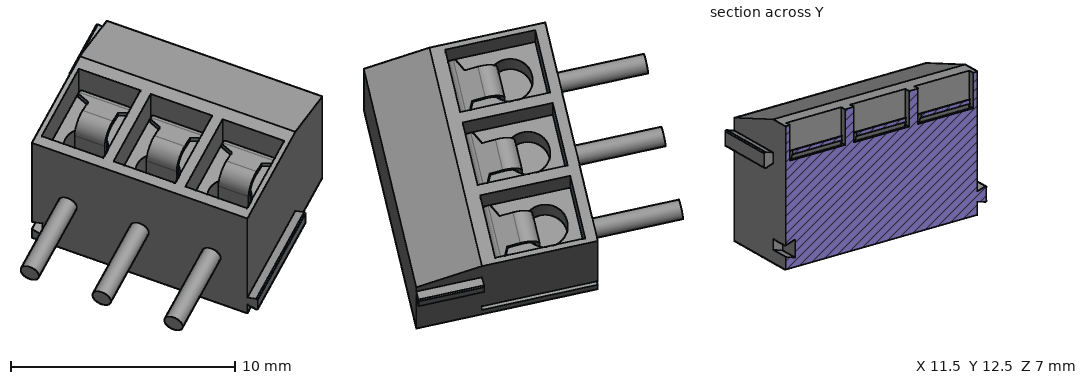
import cadquery as cq
import math


ways = 3
pitch = 3.5
housing_width = ways * pitch
housing_depth = 8.3
housing_height = 7.0
top_flat_depth = 5.3
slope_drop = 1.0

pin_diameter = 0.9
pin_length = 4.2
pin_height = 3.4

pocket_width = 3.0
pocket_front = 0.52
pocket_back = 4.64
pocket_floor = 5.27
hole_radius = 1.0
hole_centre_y = 2.0
hole_depth = 1.5

tongue_thickness = 0.2
tongue_tilt = math.radians(10)
bend_radius = 0.77
bend_front = 2.42
bend_centre_z = 5.17
nose_radius = 0.4
tongue_width = 2.7
neck_width = 1.47
shoulder_y = 4.24
neck_y = 3.94

rail_reach = 0.5
rail_root_width = 0.52
rail_angle = math.radians(18)
rail_chamfer = 0.075
upper_rail_height = 5.12
lower_rail_height = 0.91
slot_depth = 0.52

way_positions = [(way - (ways - 1) / 2) * pitch for way in range(ways)]


def make_housing():
    """Block with the rear part of its top sloping down."""
    outline = [
        (0, 0),
        (housing_depth, 0),
        (housing_depth, housing_height - slope_drop),
        (top_flat_depth, housing_height),
        (0, housing_height),
    ]
    profile = cq.Workplane("YZ").polyline(outline).close()
    return profile.extrude(housing_width / 2, both=True)


def make_pin(x):
    """Round pin standing out of the pin face."""
    face = cq.Workplane("XZ", origin=(x, 0, pin_height))
    return face.circle(pin_diameter / 2).extrude(pin_length)


def make_pocket(x):
    """Rectangular pocket with a blind round hole in its floor."""
    depth = pocket_back - pocket_front
    centre_y = (pocket_front + pocket_back) / 2
    floor = cq.Workplane("XY", origin=(x, centre_y, pocket_floor))
    pocket = floor.rect(pocket_width, depth).extrude(housing_height - pocket_floor)
    hole = (
        cq.Workplane("XY", origin=(x, hole_centre_y, pocket_floor))
        .circle(hole_radius)
        .extrude(-hole_depth)
    )
    return pocket.union(hole)


def make_tongue(x):
    """Tilted sheet contact, bent down onto the floor behind and into the hole in front."""
    bend_y = bend_front + bend_radius
    nose_y = pocket_back - nose_radius

    radius_rise = (bend_radius - nose_radius) / math.cos(tongue_tilt)
    nose_z = bend_centre_z + radius_rise - (nose_y - bend_y) * math.tan(tongue_tilt)

    def bend_point(angle, inset=0):
        """Point on the front bend; angles run from straight up towards +Y."""
        radius = bend_radius - inset
        return (bend_y + radius * math.sin(angle), bend_centre_z + radius * math.cos(angle))

    def nose_point(angle, inset=0):
        """Point on the rear bend; angles run from straight up towards +Y."""
        radius = nose_radius - inset
        return (nose_y + radius * math.sin(angle), nose_z + radius * math.cos(angle))

    hole_bottom = pocket_floor - hole_depth
    forward = -math.pi / 2
    backward = math.pi / 2
    bend_mid = (tongue_tilt + forward) / 2
    nose_mid = (tongue_tilt + backward) / 2
    inset = tongue_thickness
    side = (
        cq.Workplane("YZ", origin=(x, 0, 0))
        .moveTo(bend_front, hole_bottom)
        .lineTo(*bend_point(forward))
        .threePointArc(bend_point(bend_mid), bend_point(tongue_tilt))
        .lineTo(*nose_point(tongue_tilt))
        .threePointArc(nose_point(nose_mid), nose_point(backward))
        .lineTo(pocket_back, pocket_floor)
        .lineTo(pocket_back - inset, pocket_floor)
        .lineTo(*nose_point(backward, inset))
        .threePointArc(nose_point(nose_mid, inset), nose_point(tongue_tilt, inset))
        .lineTo(*bend_point(tongue_tilt, inset))
        .threePointArc(bend_point(bend_mid, inset), bend_point(forward, inset))
        .lineTo(bend_front + inset, hole_bottom)
        .close()
        .extrude(tongue_width / 2, both=True)
    )

    plan = [
        (neck_width / 2, 0),
        (neck_width / 2, neck_y),
        (tongue_width / 2, shoulder_y),
        (tongue_width / 2, housing_depth),
    ]
    mirrored = [(-px, py) for px, py in reversed(plan)]
    top_pivot = (x, neck_y, bend_centre_z + bend_radius)
    blank = (
        cq.Workplane("XY", origin=(x, 0, 0))
        .polyline(plan + mirrored)
        .close()
        .extrude(housing_height)
        .rotate(top_pivot, (x + 1, *top_pivot[1:]), -math.degrees(tongue_tilt))
    )
    return side.intersect(blank)


def dovetail(x, direction, height, reach, y_start, y_end):
    """Dovetail bar growing wider from a side face at x towards the given X direction."""
    root = rail_root_width / 2
    tip = root + reach * math.tan(rail_angle)
    tip_x = x + direction * reach
    outline = [
        (x, height - root),
        (tip_x, height - tip),
        (tip_x, height + tip),
        (x, height + root),
    ]
    profile = cq.Workplane("XZ", origin=(0, y_start, 0)).polyline(outline).close()
    return profile.extrude(y_start - y_end)


def make_rail(side, height, y_start, y_end):
    """Dovetail rail on one side face, with its outer long edges chamfered."""
    rail = dovetail(side * housing_width / 2, side, height, rail_reach, y_start, y_end)
    outer_face = rail.faces(">X" if side > 0 else "<X")
    return outer_face.edges("|Y").chamfer(rail_chamfer)


result = make_housing()
for way_x in way_positions:
    result = result.cut(make_pocket(way_x))
    result = result.union(make_tongue(way_x))
    result = result.union(make_pin(way_x))

result = result.union(make_rail(-1, upper_rail_height, top_flat_depth, housing_depth))
result = result.union(make_rail(1, lower_rail_height, 0, top_flat_depth))
result = result.cut(
    dovetail(-housing_width / 2, 1, lower_rail_height, slot_depth, 0, top_flat_depth)
)